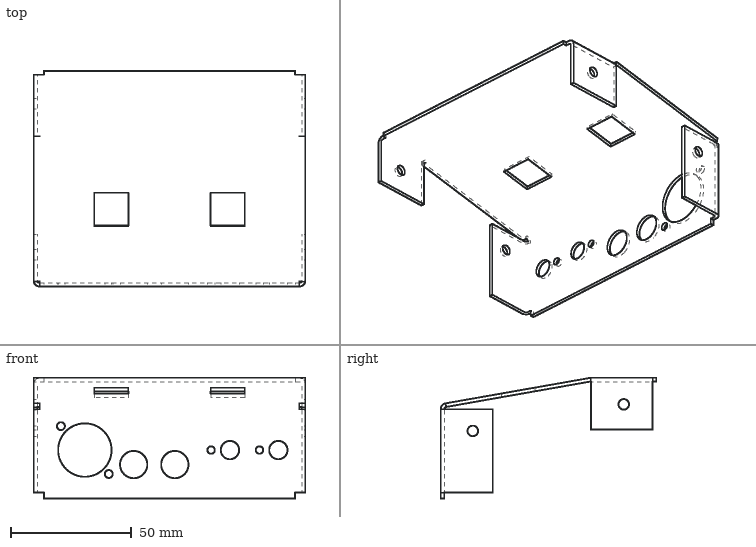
import cadquery as cq
import math

THICKNESS = 1.6
BEND_OUTER = 2.5
BEND_INNER = BEND_OUTER - THICKNESS

WIDTH = 112.44
DEPTH = 89.2
HEIGHT = 50.0
HALF_WIDTH = WIDTH / 2
FLAT_HALF_WIDTH = HALF_WIDTH - BEND_OUTER

SLOPE_DEG = 10.0
SLOPE = math.radians(SLOPE_DEG)
FOLD_Y = 62.1
FRONT_BEND_Z = 37.0

UP = math.pi / 2
SLOPE_NORMAL = UP + SLOPE
FOLD_CENTRE = (FOLD_Y, HEIGHT - BEND_OUTER)
FRONT_BEND_CENTRE = (BEND_OUTER, FRONT_BEND_Z)

TAB_WIDTH = 103.9
REAR_TAB_LENGTH = THICKNESS
LOWER_TAB_LENGTH = 2.5
SHELF_REAR_Y = DEPTH - REAR_TAB_LENGTH

REAR_FLANGE_BOTTOM = 28.5
FRONT_FLANGE_REACH = 21.6
FLANGE_HOLE_DIAMETER = 4.27
REAR_FLANGE_HOLE = (75.7, 39.0)
FRONT_FLANGE_HOLE = (13.3, 28.0)

WINDOW_SIZE = 14.0
WINDOW_SPACING = 48.1
WINDOW_FRONT_Y = 25.0

HOLE_ROW_Z = 20.1
SOCKET_X = -35.0
SOCKET_DIAMETER = 22.0
SOCKET_SCREW_DIAMETER = 3.2
SOCKET_SCREW_OFFSET = 9.9
KNOB_DIAMETER = 11.2
KNOB_XS = (-14.8, 2.2)
KNOB_Z = 14.1
JACK_DIAMETER = 7.5
JACK_XS = (25.0, 45.0)
PIN_DIAMETER = 3.0
PIN_OFFSET = 7.8


def box(x_range, y_range, z_range):
    """Axis-aligned box between the given limits."""
    return cq.Workplane("XY").box(
        x_range[1] - x_range[0],
        y_range[1] - y_range[0],
        z_range[1] - z_range[0],
        centered=False,
    ).translate((x_range[0], y_range[0], z_range[0]))


def arc_point(centre, radius, angle):
    """Point on a circle, with the angle measured from the first axis."""
    return (centre[0] + radius * math.cos(angle), centre[1] + radius * math.sin(angle))


def bend_sector(plane, centre, start, end):
    """Sketch of a sheet bend between two angles about its centre."""
    middle = (start + end) / 2
    return (
        cq.Workplane(plane)
        .moveTo(*arc_point(centre, BEND_OUTER, start))
        .threePointArc(arc_point(centre, BEND_OUTER, middle), arc_point(centre, BEND_OUTER, end))
        .lineTo(*arc_point(centre, BEND_INNER, end))
        .threePointArc(arc_point(centre, BEND_INNER, middle), arc_point(centre, BEND_INNER, start))
        .close()
    )


def rear_shelf():
    """Level shelf behind the fold, with its narrower rear tab."""
    z_range = (HEIGHT - THICKNESS, HEIGHT)
    shelf = box((-FLAT_HALF_WIDTH, FLAT_HALF_WIDTH), (FOLD_Y, SHELF_REAR_Y), z_range)
    tab = box((-TAB_WIDTH / 2, TAB_WIDTH / 2), (SHELF_REAR_Y, DEPTH), z_range)
    return shelf.union(tab)


def slope_panel():
    """Full-width sloping panel with the shallow fold at its top."""
    outline = (
        cq.Workplane("YZ")
        .moveTo(*arc_point(FOLD_CENTRE, BEND_OUTER, SLOPE_NORMAL))
        .lineTo(*arc_point(FRONT_BEND_CENTRE, BEND_OUTER, SLOPE_NORMAL))
        .lineTo(*arc_point(FRONT_BEND_CENTRE, BEND_INNER, SLOPE_NORMAL))
        .lineTo(*arc_point(FOLD_CENTRE, BEND_INNER, SLOPE_NORMAL))
        .close()
    )
    fold = bend_sector("YZ", FOLD_CENTRE, UP, SLOPE_NORMAL)
    return outline.extrude(HALF_WIDTH, both=True).union(fold.extrude(HALF_WIDTH, both=True))


def front_wall():
    """Upright front wall, its upper bend and its narrower lower tab."""
    y_range = (0, THICKNESS)
    wall = box((-FLAT_HALF_WIDTH, FLAT_HALF_WIDTH), y_range, (LOWER_TAB_LENGTH, FRONT_BEND_Z))
    tab = box((-TAB_WIDTH / 2, TAB_WIDTH / 2), y_range, (0, LOWER_TAB_LENGTH))
    bend = bend_sector("YZ", FRONT_BEND_CENTRE, SLOPE_NORMAL, math.pi)
    return wall.union(tab).union(bend.extrude(FLAT_HALF_WIDTH, both=True))


def rear_flange():
    """Left flange hanging from the shelf, with its bend."""
    centre = (-FLAT_HALF_WIDTH, HEIGHT - BEND_OUTER)
    bend = bend_sector("XZ", centre, UP, math.pi).extrude(FOLD_Y - SHELF_REAR_Y)
    bend = bend.translate((0, FOLD_Y, 0))
    plate = box(
        (-HALF_WIDTH, THICKNESS - HALF_WIDTH),
        (FOLD_Y, SHELF_REAR_Y),
        (REAR_FLANGE_BOTTOM, HEIGHT - BEND_OUTER),
    )
    return plate.union(bend)


def front_flange():
    """Left flange folded back from the front wall, with its bend."""
    centre = (-FLAT_HALF_WIDTH, BEND_OUTER)
    bend = bend_sector("XY", centre, math.pi, math.pi + UP).extrude(FRONT_BEND_Z - LOWER_TAB_LENGTH)
    bend = bend.translate((0, 0, LOWER_TAB_LENGTH))
    plate = box(
        (-HALF_WIDTH, THICKNESS - HALF_WIDTH),
        (BEND_OUTER, FRONT_FLANGE_REACH),
        (LOWER_TAB_LENGTH, FRONT_BEND_Z),
    )
    return plate.union(bend)


def flange_holes():
    """Screw holes running across the part through both pairs of flanges."""
    return (
        cq.Workplane("YZ")
        .pushPoints([REAR_FLANGE_HOLE, FRONT_FLANGE_HOLE])
        .circle(FLANGE_HOLE_DIAMETER / 2)
        .extrude(WIDTH, both=True)
    )


def windows():
    """Square cutters standing perpendicular to the sloping panel."""
    drop = (FOLD_Y - WINDOW_FRONT_Y) * math.tan(SLOPE)
    plane = cq.Plane(
        origin=(0, WINDOW_FRONT_Y, HEIGHT - drop),
        xDir=(1, 0, 0),
        normal=(0, -math.sin(SLOPE), math.cos(SLOPE)),
    )
    return (
        cq.Workplane(plane)
        .pushPoints([(side * WINDOW_SPACING / 2, WINDOW_SIZE / 2) for side in (-1, 1)])
        .rect(WINDOW_SIZE, WINDOW_SIZE)
        .extrude(2 * THICKNESS, both=True)
    )


def wall_holes(points, diameter):
    """Cylinders through the front wall at (X, Z) points."""
    return (
        cq.Workplane("XZ")
        .pushPoints(points)
        .circle(diameter / 2)
        .extrude(2 * THICKNESS, both=True)
    )


socket_screws = [
    (SOCKET_X + side * SOCKET_SCREW_OFFSET, HOLE_ROW_Z - side * SOCKET_SCREW_OFFSET)
    for side in (-1, 1)
]

result = rear_shelf().union(slope_panel()).union(front_wall())
for flange in (rear_flange(), front_flange()):
    result = result.union(flange).union(flange.mirror("YZ"))

result = result.cut(flange_holes()).cut(windows())
result = result.cut(wall_holes([(SOCKET_X, HOLE_ROW_Z)], SOCKET_DIAMETER))
result = result.cut(wall_holes(socket_screws, SOCKET_SCREW_DIAMETER))
result = result.cut(wall_holes([(x, KNOB_Z) for x in KNOB_XS], KNOB_DIAMETER))
result = result.cut(wall_holes([(x, HOLE_ROW_Z) for x in JACK_XS], JACK_DIAMETER))
result = result.cut(wall_holes([(x - PIN_OFFSET, HOLE_ROW_Z) for x in JACK_XS], PIN_DIAMETER))